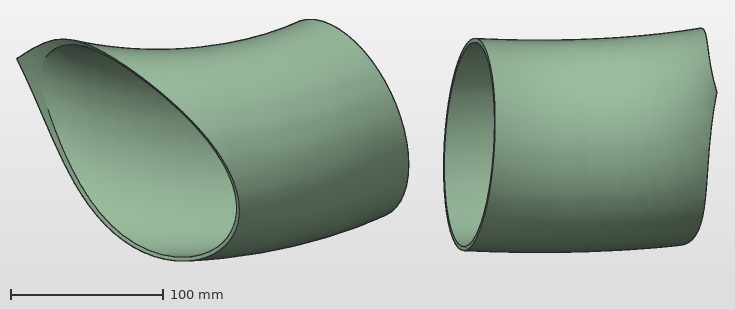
import cadquery as cq

overall_length = 259.8
pipe_diameter = 139.8
wall = 2.5
header_diameter = 323.8
bend_angle = 90.0

pipe_radius = pipe_diameter / 2
bore_radius = pipe_radius - wall
bend_radius = overall_length - pipe_radius
inside_bend_radius = bend_radius - pipe_radius
header_radius = header_diameter / 2
header_axis_y = -(inside_bend_radius + header_radius)
header_overhang = pipe_radius


def make_bend(section_radius):
    """Solid quarter bend about the Z axis, from the open end at Y = 0 towards -Y."""
    return (
        cq.Workplane("XZ")
        .center(bend_radius, 0)
        .circle(section_radius)
        .revolve(bend_angle, (-bend_radius, 0, 0), (-bend_radius, -1, 0))
    )


def make_header():
    """Solid header along X; its circle starts at +Z, so the seam stays off the elbow."""
    return (
        cq.Workplane("ZY", origin=(overall_length + header_overhang, header_axis_y, 0))
        .circle(header_radius)
        .extrude(overall_length + 2 * header_overhang)
    )


elbow = make_bend(pipe_radius).cut(make_bend(bore_radius))
result = elbow.cut(make_header())